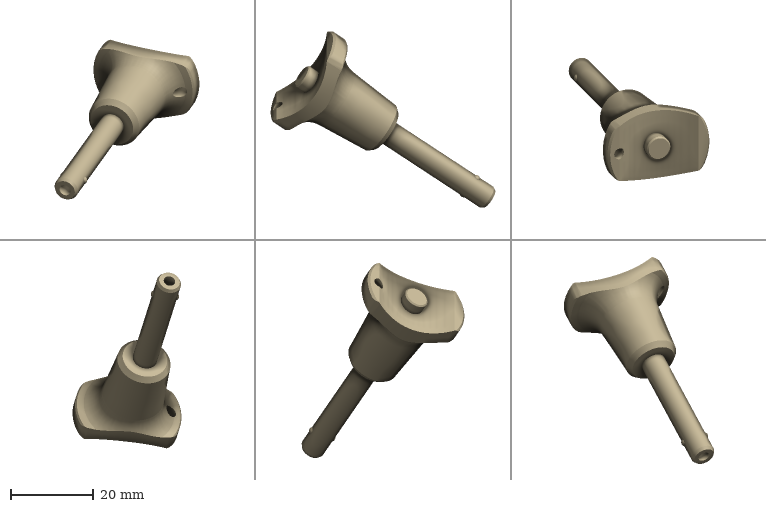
import cadquery as cq

total_length = 56.8

wing_radius = 13.2
handle_half_height = 8.8
long_side_radius = 31.8
corner_radius = 3.4
rear_rim_chamfer = 0.5
rim_depth = 3.8
rim_bevel_width = 0.35
rim_bevel_depth = 0.5
flare_radius = 11.25
flare_depth = 4.9
grip_rear_radius = 7.65
grip_rear_depth = 10.35
grip_front_radius = 6.6
grip_front_depth = 23.9
nose_radius = 5.5
handle_length = 25.2

dish_depth = 3.0
dish_half_width = 10.2

lanyard_diameter = 2.8
lanyard_x = 10.2

pin_diameter = 6.0
tip_chamfer_width = 0.45
tip_chamfer_length = 0.8
button_chamfer = 0.35
spindle_bore_diameter = 2.85
spindle_bore_depth = 5.7

ball_diameter = 2.0
ball_reach = 3.45
ball_to_tip = 5.85


def disc_along_pin(radius, length):
    """Cylinder from Y = 0 towards -Y."""
    return cq.Workplane("XZ").circle(radius).extrude(length)


def make_revolved_handle():
    profile = (
        cq.Workplane("XY")
        .lineTo(0, -handle_length)
        .lineTo(nose_radius, -handle_length)
        .lineTo(grip_front_radius, -grip_front_depth)
        .lineTo(grip_rear_radius, -grip_rear_depth)
        .tangentArcPoint((flare_radius, -flare_depth), relative=False)
        .lineTo(wing_radius - rim_bevel_width, -(rim_depth + rim_bevel_depth))
        .lineTo(wing_radius, -rim_depth)
        .lineTo(wing_radius, -rear_rim_chamfer)
        .lineTo(wing_radius - rear_rim_chamfer, 0)
        .close()
    )
    return profile.revolve(360, (0, 0, 0), (0, 1, 0))


def make_wing_outline():
    """Rounded barrel-shaped prism that trims the round handle."""
    outline = disc_along_pin(wing_radius, handle_length)
    for side in (1, -1):
        arc_center = side * (handle_half_height - long_side_radius)
        bow = cq.Workplane("XZ").center(0, arc_center).circle(long_side_radius).extrude(handle_length)
        outline = outline.intersect(bow)
    return outline.edges("|Y").fillet(corner_radius)


def make_dish():
    segment = (
        cq.Workplane("XY")
        .moveTo(-dish_half_width, 0)
        .threePointArc((0, -dish_depth), (dish_half_width, 0))
        .close()
    )
    return segment.extrude(2 * handle_half_height, both=True)


def make_pin():
    pin_radius = pin_diameter / 2
    profile = (
        cq.Workplane("XY")
        .lineTo(pin_radius - button_chamfer, 0)
        .lineTo(pin_radius, -button_chamfer)
        .lineTo(pin_radius, tip_chamfer_length - total_length)
        .lineTo(pin_radius - tip_chamfer_width, -total_length)
        .lineTo(0, -total_length)
        .close()
    )
    return profile.revolve(360, (0, 0, 0), (0, 1, 0))


def make_spindle_bore():
    bore = disc_along_pin(spindle_bore_diameter / 2, spindle_bore_depth)
    return bore.translate((0, spindle_bore_depth - total_length, 0))


handle = make_revolved_handle().intersect(make_wing_outline()).cut(make_dish())
lanyard_hole = disc_along_pin(lanyard_diameter / 2, handle_length).translate((lanyard_x, 0, 0))
handle = handle.cut(lanyard_hole)

result = handle.union(make_pin()).cut(make_spindle_bore())

ball_center = ball_reach - ball_diameter / 2
for side in (1, -1):
    ball = cq.Workplane("XY").sphere(ball_diameter / 2)
    result = result.union(ball.translate((side * ball_center, ball_to_tip - total_length, 0)))